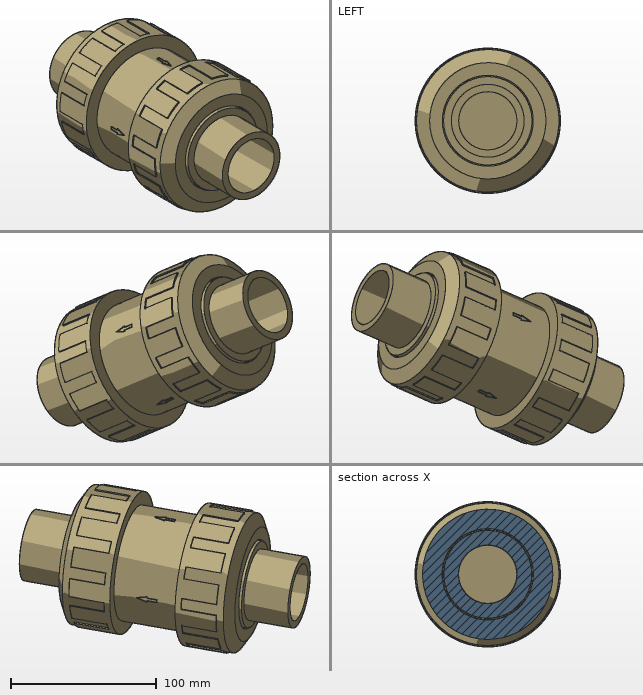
import cadquery as cq

total_length = 194.0

pipe_diameter = 50.0
bore_diameter = 40.0
bore_depth = 72.8
collar_diameter = 60.7

nut_face_diameter = 80.0
nut_diameter = 98.0
crown_diameter = 100.0
nut_length = 40.0
chamfer_length = 5.5
crown_length = 29.5
nut_opening_diameter = 62.5
nut_opening_depth = 5.5

recess_count = 14
recess_length = 25.2
recess_width = 8.3
recess_start_angle = 8.0

body_diameter = 81.0
body_length = 47.1
collar_projection = 1.7

arrow_count = 4
arrow_start = -7.4
arrow_neck = -0.4
arrow_tip = 7.2
arrow_shaft_width = 2.1
arrow_head_width = 4.3
arrow_height = 0.5

nut_inner_end = body_length / 2
nut_outer_end = nut_inner_end + nut_length
crown_outer_end = nut_inner_end + crown_length
collar_end = nut_outer_end + collar_projection


def cylinder(diameter, start, end):
    """Solid cylinder on the X axis between two stations."""
    return cq.Workplane("YZ").workplane(offset=start).circle(diameter / 2).extrude(end - start)


def grip_crown():
    """Raised ring of a nut, notched from its outer end to leave the grip ribs."""
    crown = cylinder(crown_diameter, nut_inner_end, crown_outer_end)
    recess = cq.Workplane("XY").box(
        recess_length, crown_diameter, recess_width, centered=(False, False, True)
    ).translate((crown_outer_end - recess_length, -crown_diameter, 0))
    for index in range(recess_count):
        angle = recess_start_angle + index * 360 / recess_count
        crown = crown.cut(recess.rotate((0, 0, 0), (1, 0, 0), -angle))
    return crown


def union_end():
    """Nut, collar and pipe on the +X side."""
    nut_core = (
        cq.Workplane("XY")
        .moveTo(nut_inner_end, 0)
        .lineTo(nut_inner_end, nut_diameter / 2)
        .lineTo(nut_outer_end - chamfer_length, nut_diameter / 2)
        .lineTo(nut_outer_end, nut_face_diameter / 2)
        .lineTo(nut_outer_end, 0)
        .close()
        .revolve(360, (0, 0, 0), (1, 0, 0))
    )
    nut_opening = cylinder(nut_opening_diameter, nut_outer_end - nut_opening_depth, nut_outer_end)
    collar = cylinder(collar_diameter, nut_inner_end, collar_end)
    pipe = cylinder(pipe_diameter, nut_inner_end, total_length / 2)
    bore = cylinder(bore_diameter, total_length / 2 - bore_depth, total_length / 2)
    nut = grip_crown().union(nut_core).cut(nut_opening)
    return nut.union(collar).union(pipe).cut(bore)


def flow_arrow():
    """Arrow pointing along +X, standing proud of the top of the body."""
    shaft_half = arrow_shaft_width / 2
    head_half = arrow_head_width / 2
    return (
        cq.Workplane("XY")
        .moveTo(arrow_start, -shaft_half)
        .lineTo(arrow_neck, -shaft_half)
        .lineTo(arrow_neck, -head_half)
        .lineTo(arrow_tip, 0)
        .lineTo(arrow_neck, head_half)
        .lineTo(arrow_neck, shaft_half)
        .lineTo(arrow_start, shaft_half)
        .close()
        .extrude(body_diameter / 2 + arrow_height)
    )


outlet_end = union_end()
inlet_end = outlet_end.rotate((0, 0, 0), (0, 1, 0), 180)

body = cylinder(body_diameter, -nut_inner_end, nut_inner_end)
for index in range(arrow_count):
    body = body.union(flow_arrow().rotate((0, 0, 0), (1, 0, 0), index * 360 / arrow_count))

result = body.union(outlet_end).union(inlet_end)